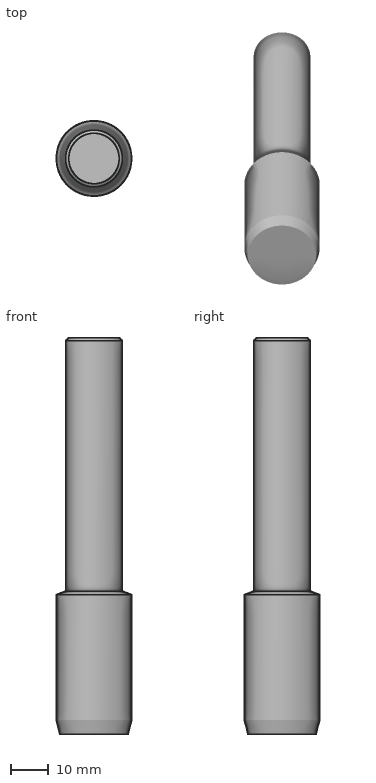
import cadquery as cq

total_length = 105.0

sleeve_diameter = 20.0
sleeve_length = 37.9
sleeve_top_taper_height = 0.9
lead_in_height = 3.8
lead_in_width = 0.9

pin_diameter = 15.0
pin_chamfer = 0.8


def make_sleeve():
    """Revolve the wall section of the sleeve about the Z axis."""
    bore_radius = pin_diameter / 2
    outer_radius = sleeve_diameter / 2
    return (
        cq.Workplane("XZ")
        .moveTo(bore_radius, 0)
        .lineTo(outer_radius - lead_in_width, 0)
        .lineTo(outer_radius, lead_in_height)
        .lineTo(outer_radius, sleeve_length - sleeve_top_taper_height)
        .lineTo(bore_radius, sleeve_length)
        .close()
        .revolve(360, (0, 0, 0), (0, 1, 0))
    )


def make_pin():
    """Rod filling the sleeve bore, flush at the bottom and chamfered at the top."""
    return (
        cq.Workplane("XY")
        .circle(pin_diameter / 2)
        .extrude(total_length)
        .faces(">Z")
        .chamfer(pin_chamfer)
    )


sleeve = make_sleeve()
pin = make_pin()

result = cq.Compound.makeCompound([sleeve.val(), pin.val()])